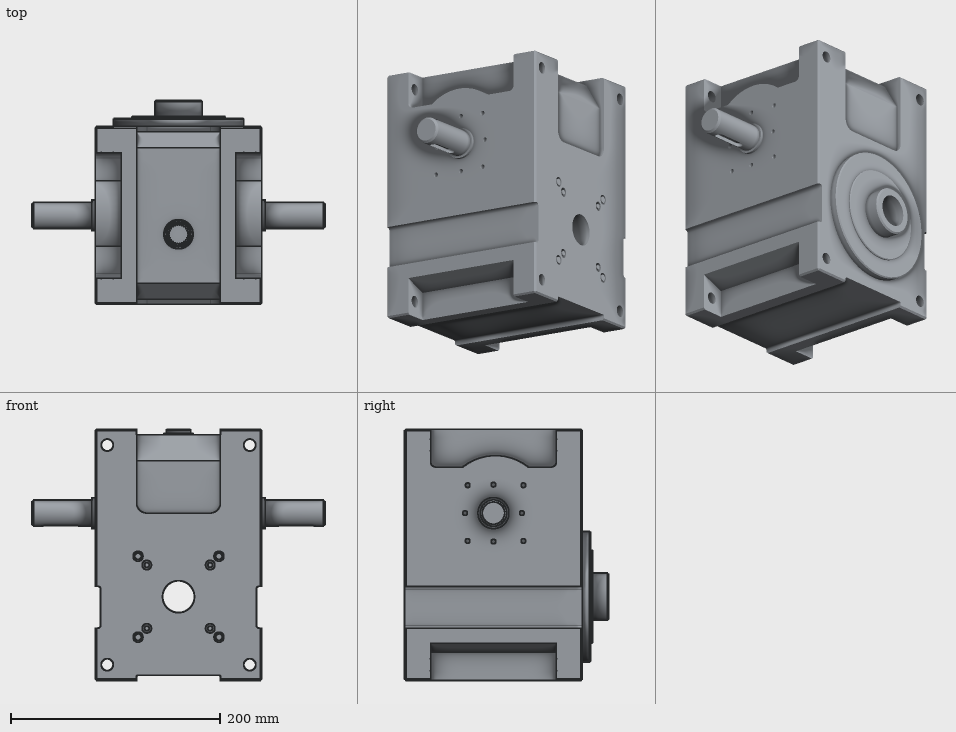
import cadquery as cq
import math

body_width = 159.0
body_depth = 170.0
body_height = 240.0
body_chamfer = 1.7
half_width = body_width / 2
half_depth = body_depth / 2

input_z = 160.0
output_z = 80.0
shaft_span = 280.0
shaft_radius = 12.5
shaft_chamfer = 2.0
collar_radius = 14.8
collar_length = 3.0
key_width = 8.0
key_depth = 4.0
key_length = 36.0
key_end_gap = 9.5

channel_width = 80.0
core_top_z = 235.0
core_slope_z = 210.0
core_slope_run = 15.0
face_recess_depth = 5.0
face_recess_radius = 9.8
foot_recess_radius = 1.5

pocket_length = 120.0
pocket_depth = 25.0
upper_pocket_floor_z = 203.8
upper_pocket_radius = 5.0
hump_half_width = 31.5
hump_height = 11.0
bearing_offset = 2.0
lower_pocket_outer_z = 35.8
lower_pocket_inner_z = 27.0

groove_bottom_z = 50.0
groove_top_z = 90.0
groove_depth = 5.0
groove_radius = 2.5

flange_radius = 62.5
flange_length = 7.8
flange_chamfer = 1.0
ring_radius = 44.5
ring_length = 2.0
ring_chamfer = 0.8
hub_radius = 22.7
hub_length = 25.0
hub_chamfer = 1.5
bore_radius = 15.0

mount_hole_radius = 5.5
mount_hole_x = 68.0
mount_hole_z = (15.0, 224.8)
screw_depth = 5.0
outer_screw = (38.5, 4.8, 3.0)
inner_screw = (30.2, 4.5, 2.2)
side_hole_radius = 2.2
side_hole_depth = 5.0
diagonal_hole_offset = 26.5
cross_hole_circle = 27.2

plug_y = -18.0
plug_base_radius = 14.0
plug_base_height = 1.0
plug_base_chamfer = 0.5
plug_radius = 11.8
plug_chamfer = 0.8
plug_recess_radius = 10.0
plug_recess_root = 8.7
plug_recess_depth = 1.5
plug_teeth = 24


def y_cylinder(radius, length, y_start):
    """Cylinder on the output axis, running along +Y from y_start."""
    return cq.Workplane("XZ", origin=(0, y_start, output_z)).circle(radius).extrude(-length)


def x_cylinder(radius, half_length):
    """Cylinder on the input axis, centered on X = 0."""
    return cq.Workplane("YZ", origin=(0, 0, input_z)).circle(radius).extrude(half_length, both=True)


def block(x_range, y_range, z_range):
    """Axis-aligned box given by its limits."""
    sizes = [high - low for low, high in (x_range, y_range, z_range)]
    corner = (x_range[0], y_range[0], z_range[0])
    return cq.Workplane("XY", origin=corner).box(*sizes, centered=False)


def both_sides(shape):
    """The shape together with its mirror image across X = 0."""
    return shape.union(shape.mirror("YZ"))


def make_body():
    return (
        cq.Workplane("XY")
        .box(body_width, body_depth, body_height, centered=(True, True, False))
        .edges()
        .chamfer(body_chamfer)
    )


def channel_cut():
    """Material removed between the walls: over the core, on both faces and under the foot."""
    half_channel = channel_width / 2
    core_y = half_depth - face_recess_depth
    around_core = block((-half_channel, half_channel), (-half_depth, half_depth), (input_z, body_height))
    around_core = around_core.edges("|Y and <Z").fillet(face_recess_radius)
    core = (
        cq.Workplane("YZ", origin=(-half_channel, 0, 0))
        .moveTo(-core_y, 0)
        .lineTo(-core_y, core_slope_z)
        .lineTo(-core_y + core_slope_run, core_top_z)
        .lineTo(core_y - core_slope_run, core_top_z)
        .lineTo(core_y, core_slope_z)
        .lineTo(core_y, 0)
        .close()
        .extrude(channel_width)
    )
    foot = block((-half_channel, half_channel), (-half_depth, half_depth), (0, face_recess_depth))
    foot = foot.edges("|Y and >Z").fillet(foot_recess_radius)
    return around_core.cut(core).union(foot)


def upper_pocket_cut():
    """Open-topped side pocket whose floor rises in an arc over the input bearing."""
    half_length = pocket_length / 2
    pocket = (
        cq.Workplane("YZ", origin=(-half_width, 0, 0))
        .moveTo(-half_length, body_height)
        .lineTo(-half_length, upper_pocket_floor_z)
        .lineTo(bearing_offset - hump_half_width, upper_pocket_floor_z)
        .threePointArc(
            (bearing_offset, upper_pocket_floor_z + hump_height),
            (bearing_offset + hump_half_width, upper_pocket_floor_z),
        )
        .lineTo(half_length, upper_pocket_floor_z)
        .lineTo(half_length, body_height)
        .close()
        .extrude(pocket_depth)
    )
    corners = pocket.edges("|X and (<Y or >Y)").edges("<Z")
    return both_sides(corners.fillet(upper_pocket_radius))


def lower_pocket_cut():
    """Open-bottomed side pocket with a sloping ceiling."""
    pocket = (
        cq.Workplane("XZ", origin=(0, pocket_length / 2, 0))
        .moveTo(-half_width, 0)
        .lineTo(-half_width, lower_pocket_outer_z)
        .lineTo(-half_width + pocket_depth, lower_pocket_inner_z)
        .lineTo(-half_width + pocket_depth, 0)
        .close()
        .extrude(pocket_length)
    )
    return both_sides(pocket)


def groove_cut():
    """Shallow groove running the full depth of each side wall."""
    groove = block(
        (-half_width, -half_width + groove_depth),
        (-half_depth, half_depth),
        (groove_bottom_z, groove_top_z),
    )
    return both_sides(groove.edges("|Y and >X").fillet(groove_radius))


def input_shaft():
    """Through shaft with a collar on each side and a key slot underneath each end."""
    half_span = shaft_span / 2
    collar_x = half_width + collar_length
    shaft = x_cylinder(shaft_radius, half_span).faces("<X or >X").chamfer(shaft_chamfer)
    collar = x_cylinder(collar_radius, collar_x)
    key_x = half_span - key_end_gap - key_length / 2
    key_slots = (
        cq.Workplane("XY", origin=(0, 0, input_z - shaft_radius))
        .pushPoints([(-key_x, 0), (key_x, 0)])
        .slot2D(key_length, key_width)
        .extrude(key_depth)
    )
    return shaft.cut(key_slots).union(collar)


def output_flange():
    """Stepped cover and hub on the rear face."""
    flange = y_cylinder(flange_radius, flange_length, half_depth).faces(">Y").chamfer(flange_chamfer)
    ring = y_cylinder(ring_radius, flange_length + ring_length, half_depth).faces(">Y").chamfer(ring_chamfer)
    hub = y_cylinder(hub_radius, hub_length, half_depth).faces(">Y").chamfer(hub_chamfer)
    return flange.union(ring).union(hub)


def oil_plug():
    """Round plug on top of the core with a serrated recess."""
    base = (
        cq.Workplane("XY", origin=(0, plug_y, core_top_z))
        .circle(plug_base_radius)
        .extrude(plug_base_height)
        .faces(">Z")
        .chamfer(plug_base_chamfer)
    )
    cap = (
        cq.Workplane("XY", origin=(0, plug_y, core_top_z))
        .circle(plug_radius)
        .extrude(body_height - core_top_z)
        .faces(">Z")
        .chamfer(plug_chamfer)
    )
    star = []
    for index in range(2 * plug_teeth):
        radius = plug_recess_root if index % 2 else plug_recess_radius
        angle = math.pi * index / plug_teeth
        star.append((radius * math.cos(angle), radius * math.sin(angle)))
    recess = (
        cq.Workplane("XY", origin=(0, plug_y, body_height))
        .polyline(star)
        .close()
        .extrude(-plug_recess_depth)
    )
    return base.union(cap).cut(recess)


def mount_holes():
    points = [(x, z) for x in (-mount_hole_x, mount_hole_x) for z in mount_hole_z]
    return (
        cq.Workplane("XZ", origin=(0, -half_depth, 0))
        .pushPoints(points)
        .circle(mount_hole_radius)
        .extrude(-body_depth)
    )


def screw_recesses(offset, head_radius, core_radius):
    """Four ring-shaped recesses around screw cores on the front face."""
    return (
        cq.Workplane("XZ", origin=(0, -half_depth, output_z))
        .rect(2 * offset, 2 * offset, forConstruction=True)
        .vertices()
        .circle(head_radius)
        .circle(core_radius)
        .extrude(-screw_depth)
    )


def side_holes():
    """Eight blind holes around the input shaft on each side wall."""
    diagonal = diagonal_hole_offset
    points = [(bearing_offset + y, z) for y in (-diagonal, diagonal) for z in (-diagonal, diagonal)]
    cross = cross_hole_circle
    points += [(cross, 0), (-cross, 0), (0, cross), (0, -cross)]
    holes = (
        cq.Workplane("YZ", origin=(-half_width, 0, input_z))
        .pushPoints(points)
        .circle(side_hole_radius)
        .extrude(side_hole_depth)
    )
    return both_sides(holes)


result = (
    make_body()
    .cut(channel_cut())
    .cut(upper_pocket_cut())
    .cut(lower_pocket_cut())
    .cut(groove_cut())
    .union(input_shaft())
    .union(output_flange())
    .union(oil_plug())
    .cut(mount_holes())
    .cut(screw_recesses(*outer_screw))
    .cut(screw_recesses(*inner_screw))
    .cut(side_holes())
    .cut(y_cylinder(bore_radius, body_depth + hub_length, -half_depth))
)